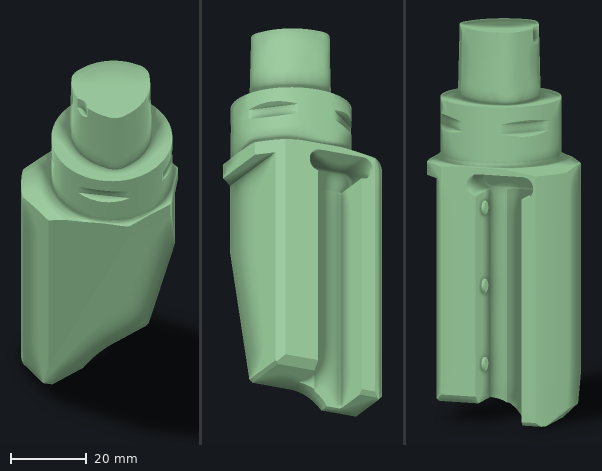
import cadquery as cq
import math


total_length = 104.0
shank_length = 19.1
bottom_z = shank_length - total_length
x_min, x_max = -18.0, 16.5
y_min, y_max = -21.9, 16.5
body_corner_radius = 24.0

lobe_tip_radius = 11.8
lobe_seam_radius = 11.2
lobe_flank_radius = 10.3
lobe_half_angle = 14.7
shank_taper = math.degrees(math.atan(1 / 40))

keyway_radius = 3.5
keyway_inner_y = -8.9
keyway_depth = 3.3

collar_radius = 16.0
collar_fillet = 1.1
shoulder_z = -16.0
shoulder_flat_radius = 18.9
shoulder_slope = 15.0

gripper_floor_distance = 14.5
gripper_mid_z = -5.9
gripper_floor_width = 2.5
gripper_mouth_width = 4.4

corner_leg_se = 15.2
corner_leg_ne = 9.5
corner_leg_nw = 6.0

slope_top_z = -20.4
slope_bottom_x = -2.1

step_y = 12.5
step_z = -20.0

seat_y_max = 0.8
seat_y_min = -12.0
seat_floor_x = -6.2
seat_fillet = 0.5
relief_depth = 0.8
relief_y = -3.8
relief_fillet = 0.8

pocket_mid_z = -20.8
pocket_width = 6.0
pocket_y_max = 3.3
pocket_y_min = -15.3
pocket_floor_x = -5.2
pocket_fillet = 0.8

pin_diameter = 3.8
pin_height = 0.8
pin_chamfer = 0.3
pin_x = -11.8
pin_top_z = -28.0
pin_pitch = 21.0
pin_count = 3

clearance_radius = 10.1
upper_end_z = -79.9
front_end_chamfer = 3.8
side_end_chamfer = 1.1
step_end_chamfer = 0.8
step_side_chamfer = 2.2


def box(x_range, y_range, z_range):
    """Box between the given limits along each axis."""
    limits = (x_range, y_range, z_range)
    sizes = [high - low for low, high in limits]
    corner = cq.Vector(*[low for low, high in limits])
    return cq.Workplane(cq.Solid.makeBox(*sizes, corner))


def polar(radius, degrees):
    angle = math.radians(degrees)
    return (radius * math.cos(angle), radius * math.sin(angle))


def make_shank():
    """Six arcs: a tight one at each lobe and a flatter one on each flank."""
    outline = cq.Workplane("XY").moveTo(*polar(lobe_seam_radius, 90 - lobe_half_angle))
    for lobe_angle in (90, 210, 330):
        outline = outline.threePointArc(
            polar(lobe_tip_radius, lobe_angle),
            polar(lobe_seam_radius, lobe_angle + lobe_half_angle),
        ).threePointArc(
            polar(lobe_flank_radius, lobe_angle + 60),
            polar(lobe_seam_radius, lobe_angle + 120 - lobe_half_angle),
        )
    shank = outline.close().extrude(shank_length, taper=shank_taper)
    return shank.cut(make_keyway())


def make_keyway():
    """Upright round cutter with a 45 degree conical tip."""
    floor_z = shank_length - keyway_depth
    return (
        cq.Workplane("XZ")
        .moveTo(0, shank_length)
        .lineTo(keyway_radius, shank_length)
        .lineTo(keyway_radius, floor_z)
        .lineTo(0, floor_z - keyway_radius)
        .close()
        .revolve(360, (0, 0, 0), (0, 1, 0))
        .translate((0, keyway_inner_y - keyway_radius, 0))
    )


def make_turned_blank():
    """Collar, fillet, sloping shoulder and round body, turned about Z."""
    shoulder_drop = (body_corner_radius - shoulder_flat_radius) * math.tan(math.radians(shoulder_slope))
    return (
        cq.Workplane("XZ")
        .lineTo(collar_radius, 0)
        .lineTo(collar_radius, shoulder_z + collar_fillet)
        .radiusArc((collar_radius + collar_fillet, shoulder_z), -collar_fillet)
        .lineTo(shoulder_flat_radius, shoulder_z)
        .lineTo(body_corner_radius, shoulder_z - shoulder_drop)
        .lineTo(body_corner_radius, bottom_z)
        .lineTo(0, bottom_z)
        .close()
        .revolve(360, (0, 0, 0), (0, 1, 0))
    )


def make_envelope():
    """Upright prism that trims the turned blank to its flat sides."""
    return (
        cq.Workplane("XY")
        .workplane(offset=bottom_z)
        .moveTo(x_min, y_min)
        .lineTo(x_max - corner_leg_se, y_min)
        .lineTo(x_max, y_min + corner_leg_se)
        .lineTo(x_max, y_max - corner_leg_ne)
        .lineTo(x_max - corner_leg_ne, y_max)
        .lineTo(x_min + corner_leg_nw, y_max)
        .lineTo(x_min, y_max - corner_leg_nw)
        .close()
        .extrude(-bottom_z)
    )


def make_gripper_grooves():
    """Four straight trapezoidal grooves across the collar diagonals."""
    length = 2 * collar_radius
    depth = collar_radius - gripper_floor_distance
    groove = (
        cq.Workplane("XZ", origin=(0, length / 2, gripper_mid_z))
        .moveTo(gripper_floor_distance, -gripper_floor_width / 2)
        .lineTo(gripper_floor_distance + depth, -gripper_mouth_width / 2)
        .lineTo(gripper_floor_distance + depth, gripper_mouth_width / 2)
        .lineTo(gripper_floor_distance, gripper_floor_width / 2)
        .close()
        .extrude(length)
    )
    grooves = cq.Workplane("XY")
    for angle in (45, 135, 225, 315):
        grooves = grooves.add(groove.rotate((0, 0, 0), (0, 0, 1), angle))
    return grooves.combine()


def make_back_slope():
    """Wedge removed from the +X side, thinning the body downwards."""
    return (
        cq.Workplane("XZ", origin=(0, y_max, 0))
        .moveTo(x_max, slope_top_z)
        .lineTo(x_max, bottom_z)
        .lineTo(slope_bottom_x, bottom_z)
        .close()
        .extrude(y_max - y_min)
    )


def make_seat():
    """Blade channel with a relief along its floor, open at the lower end."""
    relief_floor_x = seat_floor_x + relief_depth
    channel_z = (bottom_z, pocket_mid_z)
    seat = box((x_min, seat_floor_x), (seat_y_min, seat_y_max), channel_z)
    seat = seat.edges("|Z and >X and >Y").fillet(seat_fillet)
    relief = box((x_min, relief_floor_x), (seat_y_min, relief_y), channel_z)
    relief = relief.edges("|Z and >X").fillet(relief_fillet)
    return seat.union(relief)


def make_pocket():
    """Oblong pocket with a rounded floor edge."""
    mid_y = (pocket_y_max + pocket_y_min) / 2
    return (
        cq.Workplane("YZ", origin=(x_min, mid_y, pocket_mid_z))
        .slot2D(pocket_y_max - pocket_y_min, pocket_width)
        .extrude(pocket_floor_x - x_min)
        .faces(">X")
        .edges()
        .fillet(pocket_fillet)
    )


def make_pins():
    """Chamfered pins standing on the +Y wall of the seat."""
    positions = [(pin_x, pin_top_z - index * pin_pitch) for index in range(pin_count)]
    return (
        cq.Workplane("XZ", origin=(0, seat_y_max, 0))
        .pushPoints(positions)
        .circle(pin_diameter / 2)
        .extrude(pin_height)
        .faces("<Y")
        .chamfer(pin_chamfer)
    )


def wedge_along_x(y_edge, z_edge, leg):
    """Prism along X that cuts a 45 degree chamfer; a positive leg runs towards +Y."""
    return (
        cq.Workplane("YZ", origin=(x_min, 0, 0))
        .moveTo(y_edge, z_edge)
        .lineTo(y_edge + leg, z_edge)
        .lineTo(y_edge, z_edge + abs(leg))
        .close()
        .extrude(x_max - x_min)
    )


def wedge_on_side(z_edge, leg, y_range):
    """Prism along Y that cuts a 45 degree chamfer on the lower edge of the -X side."""
    y_low, y_high = y_range
    return (
        cq.Workplane("XZ", origin=(0, y_high, 0))
        .moveTo(x_min, z_edge)
        .lineTo(x_min + leg, z_edge)
        .lineTo(x_min, z_edge + leg)
        .close()
        .extrude(y_high - y_low)
    )


def cut_lower_end(part):
    """Concave clearance, shortened +Y part and chamfered lower edges."""
    clearance = (
        cq.Workplane("YZ", origin=(x_min, seat_y_max, upper_end_z - clearance_radius))
        .circle(clearance_radius)
        .extrude(x_max - x_min)
    )
    return (
        part.cut(clearance)
        .cut(box((x_min, x_max), (seat_y_max, y_max), (bottom_z, upper_end_z)))
        .cut(wedge_along_x(y_min, bottom_z, front_end_chamfer))
        .cut(wedge_along_x(step_y, upper_end_z, -step_end_chamfer))
        .cut(wedge_on_side(bottom_z, side_end_chamfer, (y_min, seat_y_min)))
        .cut(wedge_on_side(upper_end_z, step_side_chamfer, (seat_y_max, y_max)))
    )


body = make_turned_blank().intersect(make_envelope())
body = body.cut(make_gripper_grooves())
body = body.cut(make_back_slope())
body = body.cut(box((x_min, x_max), (step_y, y_max), (bottom_z, step_z)))
body = body.cut(make_seat())
body = body.cut(make_pocket())
body = cut_lower_end(body)
result = body.union(make_pins()).union(make_shank())